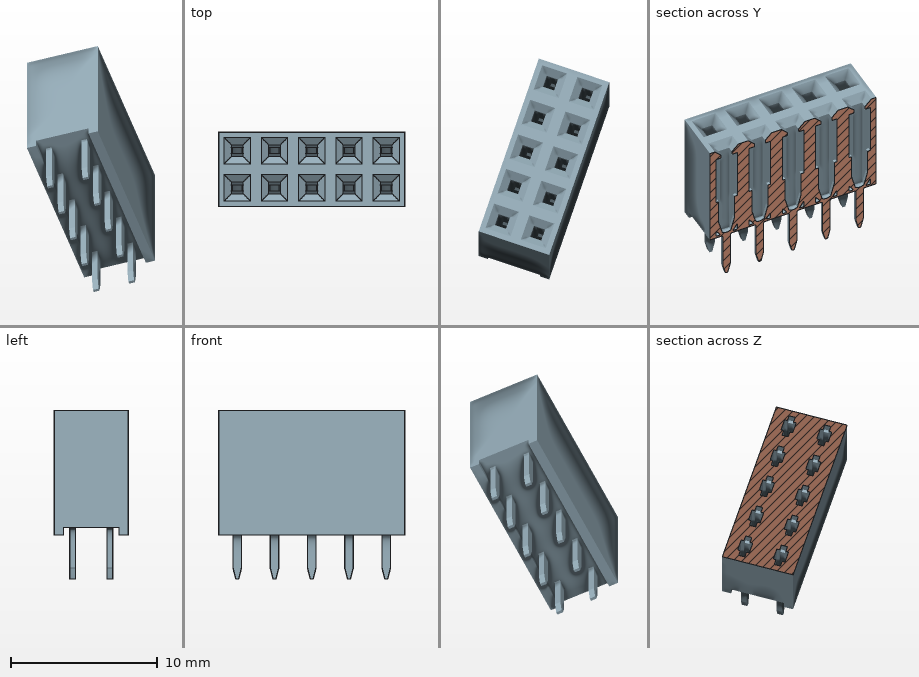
import cadquery as cq
import math

LENGTH = 12.7
WIDTH = 5.08
HEIGHT = 8.51
CHANNEL_WIDTH = 3.76
CHANNEL_DEPTH = 0.51

COLUMNS = 5
ROWS = 2
PITCH = 2.54

LEAD_IN_SIZE = 1.8
SOCKET_SIZE = 0.8
LEAD_IN_DEPTH = (LEAD_IN_SIZE - SOCKET_SIZE) / 2
CAVITY_FLOOR = CHANNEL_DEPTH + 0.2

SLOT_LENGTH = 1.6
SLOT_LINTEL = 0.29
SLOT_TOP = HEIGHT - LEAD_IN_DEPTH - SLOT_LINTEL

CONTACT_THICKNESS = 0.41
PIN_WIDTH = 0.6
PIN_LENGTH = 3.0
TIP_WIDTH = 0.2
TIP_LENGTH = 0.76
SHOULDER_Z = CHANNEL_DEPTH - 0.09
SHOULDER_ANGLE = math.radians(55)
LEG_THICKNESS = 0.2
LEG_TOP = 3.81
LEG_FLARE_ANGLE = math.radians(75)
FORK_HALF_MOUTH = 0.32
FORK_RADIUS = 0.53
FORK_BOTTOM = CAVITY_FLOOR + 0.05


def build_housing():
    """Block with a full-length channel between the rails on its underside."""
    block = cq.Workplane("XY").box(LENGTH, WIDTH, HEIGHT, centered=(True, True, False))
    channel = cq.Workplane("XY").box(LENGTH, CHANNEL_WIDTH, CHANNEL_DEPTH, centered=(True, True, False))
    return block.cut(channel)


def build_cavity():
    """Lead-in, square socket and leg slot of one position."""
    lead_in = (
        cq.Workplane("XY")
        .workplane(offset=HEIGHT)
        .rect(LEAD_IN_SIZE, LEAD_IN_SIZE)
        .workplane(offset=-LEAD_IN_DEPTH)
        .rect(SOCKET_SIZE, SOCKET_SIZE)
        .loft(ruled=True)
    )
    floor = cq.Workplane("XY").workplane(offset=CAVITY_FLOOR)
    socket = floor.rect(SOCKET_SIZE, SOCKET_SIZE).extrude(HEIGHT - LEAD_IN_DEPTH - CAVITY_FLOOR)
    slot = floor.rect(SLOT_LENGTH, CONTACT_THICKNESS).extrude(SLOT_TOP - CAVITY_FLOOR)
    return lead_in.union(socket).union(slot)


def build_contact():
    """Contact profile in XZ, extruded symmetrically about its mid-plane."""
    pin_half = PIN_WIDTH / 2
    tip_half = TIP_WIDTH / 2
    outer_half = SLOT_LENGTH / 2
    inner_half = outer_half - LEG_THICKNESS
    taper_z = TIP_LENGTH - PIN_LENGTH

    shoulder_top = SHOULDER_Z + math.tan(SHOULDER_ANGLE) * (outer_half - pin_half)

    arc_rise = FORK_RADIUS - math.sqrt(FORK_RADIUS**2 - FORK_HALF_MOUTH**2)
    mouth_z = FORK_BOTTOM + arc_rise
    flare_top = mouth_z + math.tan(LEG_FLARE_ANGLE) * (inner_half - FORK_HALF_MOUTH)

    profile = (
        cq.Workplane("XZ")
        .moveTo(-tip_half, -PIN_LENGTH)
        .lineTo(tip_half, -PIN_LENGTH)
        .lineTo(pin_half, taper_z)
        .lineTo(pin_half, SHOULDER_Z)
        .lineTo(outer_half, shoulder_top)
        .lineTo(outer_half, LEG_TOP)
        .lineTo(inner_half, LEG_TOP)
        .lineTo(inner_half, flare_top)
        .lineTo(FORK_HALF_MOUTH, mouth_z)
        .threePointArc((0, FORK_BOTTOM), (-FORK_HALF_MOUTH, mouth_z))
        .lineTo(-inner_half, flare_top)
        .lineTo(-inner_half, LEG_TOP)
        .lineTo(-outer_half, LEG_TOP)
        .lineTo(-outer_half, shoulder_top)
        .lineTo(-pin_half, SHOULDER_Z)
        .lineTo(-pin_half, taper_z)
        .close()
    )
    return profile.extrude(CONTACT_THICKNESS / 2, both=True)


result = build_housing()
cavity = build_cavity()
contact = build_contact()
for column in range(COLUMNS):
    for row in range(ROWS):
        x = (column - (COLUMNS - 1) / 2) * PITCH
        y = (row - (ROWS - 1) / 2) * PITCH
        result = result.cut(cavity.translate((x, y, 0)))
        result = result.union(contact.translate((x, y, 0)))